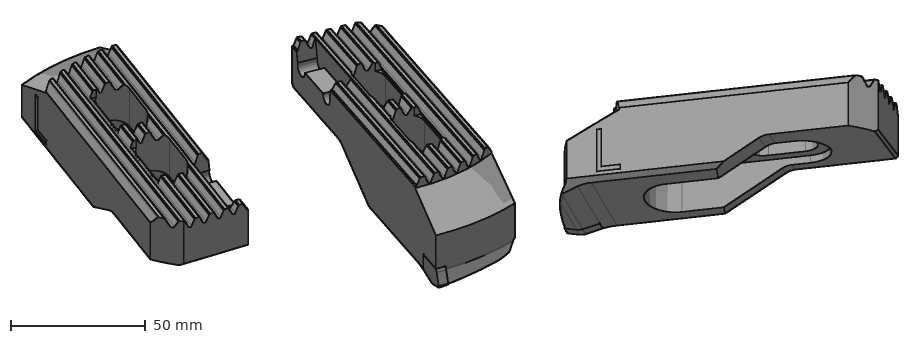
import cadquery as cq
import math

LENGTH = 128.0
WIDTH = 36.1
MAX_DEPTH = 38.4

TAIL_HEIGHT = 20.9
TAIL_CHAMFER = 1.0
RAMP_END_X = 86.3
RAMP_ANGLE = 30.0
RAMP_BLEND = 7.7

UNDERSIDE_TILT = 6.4
HEEL_DEPTH = 35.5
BUMP_DEPTH = 37.8
BUMP_X = 5.9
RIDGE_RADIUS = 5.1
BUMP_SIDE_X = 13.7
BUMP_SIDE_DEPTH = 36.0
BLEND_MIDDLE_X = 16.3
BLEND_MIDDLE_DEPTH = 35.6
BUMP_BLEND_X = 19.2
NOSE_EDGE_DEPTH = 36.4
EDGE_CHAMFER_Z = -29.7

NOSE_RADIUS = 88.2
NOSE_X = 2.4
NOSE_AXIS_X = NOSE_X + NOSE_RADIUS
NOSE_TOP_Z = -14.6
NOSE_LIP_Z = -30.5
LIP_ANGLE = 25.0
LIP_ROUND = 0.5
LIP_CHAMFER_WIDTH = 3.2
RACK_RADIUS = 70.1
SHOULDER_Z = -4.2

TOOTH_COUNT = 6
TOOTH_PITCH = WIDTH / TOOTH_COUNT
TOOTH_HEIGHT = 3.6
CREST_WIDTH = 2.3
VALLEY_WIDTH = 1.2
VALLEY_SAG = 0.4
CREST_CHAMFER = 0.4

CORNER_X = 9.0
CORNER_Y = 9.5
CORNER_BULGE = 0.4

SLOT_COUNT = 2
SLOT_PITCH = 34.0
SLOT_X = 53.5
SLOT_Y = 20.1
SLOT_LENGTH = 27.5
SLOT_WIDTH = 13.2
TROUGH_LENGTH = 71.7
TROUGH_WIDTH = 22.0
TROUGH_FLOOR_Z = -17.9
RELIEF_LENGTH = 23.5
RELIEF_Y = 12.9
RELIEF_WIDTH = 3.1

SEAT_X = 95.5
SEAT_LENGTH = 27.4
SEAT_WIDTH = 8.0
SEAT_DEPTH = 8.7
SEAT_WALL_ANGLE = 12.5
LAND_X = 101.0
LAND_LENGTH = 15.7
LEFT_GROOVE = 5.9
RIGHT_GROOVE = 6.4

INSERT_WIDTH = 4.0
INSERT_TOP_Z = -29.3
INSERT_BEVEL_X = 1.8
INSERT_BEVEL_Z = -30.5
INSERT_TIP_Z = -35.5

INLAY_X = 21.8
INLAY_TOP_Z = -11.3
INLAY_BOTTOM_Z = -28.2
INLAY_LENGTH = 9.1
INLAY_STROKE = 1.8
INLAY_DEPTH = 0.6


def tangent(degrees):
    return math.tan(math.radians(degrees))


def nearest(x, y, z):
    return cq.selectors.NearestToPointSelector((x, y, z))


def box(x, y, z, length, width, height):
    return cq.Workplane("XY").box(length, width, height, centered=False).translate((x, y, z))


def side_profile():
    """Plain outline of the body, with the ramp up to the tail."""
    ramp_start_x = RAMP_END_X - (MAX_DEPTH - TAIL_HEIGHT) / tangent(RAMP_ANGLE)
    blank = (
        cq.Workplane("XZ", origin=(0, WIDTH, 0))
        .polyline([
            (0, 0),
            (LENGTH, 0),
            (LENGTH, -TAIL_HEIGHT),
            (RAMP_END_X, -TAIL_HEIGHT),
            (ramp_start_x, -MAX_DEPTH),
            (0, -MAX_DEPTH),
        ])
        .close()
        .extrude(WIDTH)
    )
    blank = blank.edges(nearest(LENGTH, WIDTH / 2, -TAIL_HEIGHT)).chamfer(TAIL_CHAMFER)
    return blank.edges(nearest(RAMP_END_X, WIDTH / 2, -TAIL_HEIGHT)).fillet(RAMP_BLEND)


def underside_envelope():
    """Everything above the tilted underside, its nose ridge included."""
    profile = (
        cq.Workplane("XZ", origin=(0, WIDTH, 0))
        .moveTo(0, 0)
        .lineTo(0, -NOSE_EDGE_DEPTH)
        .lineTo(BUMP_X, -BUMP_DEPTH)
        .lineTo(BUMP_SIDE_X, -BUMP_SIDE_DEPTH)
        .threePointArc((BLEND_MIDDLE_X, -BLEND_MIDDLE_DEPTH), (BUMP_BLEND_X, -HEEL_DEPTH))
        .lineTo(LENGTH, -HEEL_DEPTH)
        .lineTo(LENGTH, 0)
        .close()
        .wire()
        .val()
    )
    rise = WIDTH * tangent(UNDERSIDE_TILT)
    sweep = cq.Vector(0, -WIDTH, rise)
    envelope = cq.Workplane(cq.Solid.extrudeLinear(profile, [], sweep))
    ridge = nearest(BUMP_X, WIDTH / 2, rise / 2 - BUMP_DEPTH)
    return envelope.edges(ridge).fillet(RIDGE_RADIUS)


def cross_section():
    """Rack teeth on top and the 45 degree chamfer on the lower -Y edge, along the full length."""
    half_crest = CREST_WIDTH / 2
    half_base = (TOOTH_PITCH - VALLEY_WIDTH) / 2
    flank_depth = TOOTH_HEIGHT - VALLEY_SAG
    section = (
        cq.Workplane("YZ")
        .moveTo(WIDTH, -TOOTH_HEIGHT)
        .lineTo(WIDTH, -MAX_DEPTH)
        .lineTo(MAX_DEPTH + EDGE_CHAMFER_Z, -MAX_DEPTH)
        .lineTo(0, EDGE_CHAMFER_Z)
        .lineTo(0, -TOOTH_HEIGHT)
    )
    for index in range(TOOTH_COUNT):
        middle = (index + 0.5) * TOOTH_PITCH
        if index > 0:
            section = section.threePointArc(
                (index * TOOTH_PITCH, -TOOTH_HEIGHT),
                (middle - half_base, -flank_depth),
            )
        section = (
            section
            .lineTo(middle - half_crest, -CREST_CHAMFER)
            .lineTo(middle - half_crest + CREST_CHAMFER, 0)
            .lineTo(middle + half_crest - CREST_CHAMFER, 0)
            .lineTo(middle + half_crest, -CREST_CHAMFER)
            .lineTo(middle + half_base, -flank_depth)
        )
    return section.lineTo(WIDTH, -TOOTH_HEIGHT).close().extrude(LENGTH)


def nose_envelope():
    """Turned nose: tooth ends, cone, upright band and flared lip."""
    lip_radius = NOSE_RADIUS + (MAX_DEPTH + NOSE_LIP_Z) * tangent(LIP_ANGLE)
    return (
        cq.Workplane("XZ")
        .polyline([
            (0, 0),
            (RACK_RADIUS, 0),
            (RACK_RADIUS, SHOULDER_Z),
            (NOSE_RADIUS, NOSE_TOP_Z),
            (NOSE_RADIUS, NOSE_LIP_Z),
            (lip_radius, -MAX_DEPTH),
            (0, -MAX_DEPTH),
        ])
        .close()
        .revolve(360, (0, 0, 0), (0, 1, 0))
        .translate((NOSE_AXIS_X, WIDTH, 0))
    )


def plan_envelope():
    """Plan outline with the rounded tail corner."""
    bulge = CORNER_BULGE / math.hypot(CORNER_X, CORNER_Y)
    middle = (LENGTH - CORNER_X / 2 + CORNER_Y * bulge, CORNER_Y / 2 - CORNER_X * bulge)
    return (
        cq.Workplane("XY", origin=(0, 0, -MAX_DEPTH))
        .moveTo(0, 0)
        .lineTo(LENGTH - CORNER_X, 0)
        .threePointArc(middle, (LENGTH, CORNER_Y))
        .lineTo(LENGTH, WIDTH)
        .lineTo(0, WIDTH)
        .close()
        .extrude(MAX_DEPTH)
    )


def bolt_slot(x):
    """Through slot with the relief of the tooth flank above."""
    through = (
        cq.Workplane("XY", origin=(x, SLOT_Y, -MAX_DEPTH))
        .slot2D(SLOT_LENGTH, SLOT_WIDTH)
        .extrude(MAX_DEPTH)
    )
    relief = box(x - RELIEF_LENGTH / 2, RELIEF_Y, -TOOTH_HEIGHT, RELIEF_LENGTH, RELIEF_WIDTH, TOOTH_HEIGHT)
    return through.union(relief)


def bolt_head_trough():
    """One wide trough from below that serves both slots."""
    middle_x = SLOT_X + (SLOT_COUNT - 1) * SLOT_PITCH / 2
    return (
        cq.Workplane("XY", origin=(middle_x, SLOT_Y, -MAX_DEPTH))
        .slot2D(TROUGH_LENGTH, TROUGH_WIDTH)
        .extrude(MAX_DEPTH + TROUGH_FLOOR_Z)
    )


def key_seat():
    """Flared seat through the outer tooth with a relief groove at each end of its floor."""
    flare = SEAT_DEPTH * tangent(SEAT_WALL_ANGLE)
    end_x = SEAT_X + SEAT_LENGTH
    seat = (
        cq.Workplane("XZ", origin=(0, WIDTH, 0))
        .polyline([
            (SEAT_X, -SEAT_DEPTH),
            (SEAT_X - flare, 0),
            (end_x + flare, 0),
            (end_x, -SEAT_DEPTH),
        ])
        .close()
        .extrude(SEAT_WIDTH)
    )
    grooves = (
        cq.Workplane("XZ", origin=(0, WIDTH, 0))
        .moveTo(LAND_X - LEFT_GROOVE / 2, -SEAT_DEPTH)
        .circle(LEFT_GROOVE / 2)
        .moveTo(LAND_X + LAND_LENGTH + RIGHT_GROOVE / 2, -SEAT_DEPTH)
        .circle(RIGHT_GROOVE / 2)
        .extrude(SEAT_WIDTH)
    )
    return seat.union(grooves)


def insert_blank():
    """Block with a leaning flat front, reaching below the underside."""
    return (
        cq.Workplane("XZ", origin=(0, WIDTH, 0))
        .polyline([
            (NOSE_X, INSERT_TOP_Z),
            (BUMP_SIDE_X, INSERT_TOP_Z),
            (BUMP_SIDE_X, -MAX_DEPTH),
            (0, -MAX_DEPTH),
            (0, INSERT_TIP_Z),
            (INSERT_BEVEL_X, INSERT_BEVEL_Z),
        ])
        .close()
        .extrude(INSERT_WIDTH)
    )


def make_insert():
    """Nose insert, its underside flush with the jaw."""
    return insert_blank().intersect(underside_envelope())


def make_inlay():
    """Letter-shaped inlay lying flush in the -Y side."""
    height = INLAY_TOP_Z - INLAY_BOTTOM_Z
    stem = box(INLAY_X, 0, INLAY_BOTTOM_Z, INLAY_STROKE, INLAY_DEPTH, height)
    foot = box(INLAY_X, 0, INLAY_BOTTOM_Z, INLAY_LENGTH, INLAY_DEPTH, INLAY_STROKE)
    return stem.union(foot)


def round_lip(jaw):
    """Round the lower edge of the flared lip, from the -Y chamfer to the insert."""
    angle = math.asin(WIDTH / 2 / NOSE_RADIUS)
    lip_point = (NOSE_AXIS_X - NOSE_RADIUS * math.cos(angle), WIDTH / 2, NOSE_LIP_Z - 1.3)
    lip_face = jaw.faces(nearest(*lip_point))
    lower_edges = cq.selectors.BoxSelector(
        (-LIP_ROUND, LIP_CHAMFER_WIDTH, -MAX_DEPTH),
        (BUMP_SIDE_X, WIDTH - INSERT_WIDTH - LIP_ROUND, NOSE_LIP_Z),
    )
    return lip_face.edges(lower_edges).fillet(LIP_ROUND)


def make_jaw(inlay):
    """Jaw with recesses that match the insert and the inlay."""
    jaw = side_profile()
    for envelope in (underside_envelope(), cross_section(), nose_envelope(), plan_envelope()):
        jaw = jaw.intersect(envelope)
    jaw = round_lip(jaw.cut(insert_blank()))
    for index in range(SLOT_COUNT):
        jaw = jaw.cut(bolt_slot(SLOT_X + index * SLOT_PITCH))
    return jaw.cut(bolt_head_trough()).cut(key_seat()).cut(inlay)


insert = make_insert()
inlay = make_inlay()
jaw = make_jaw(inlay)

result = cq.Compound.makeCompound([jaw.val(), insert.val(), inlay.val()])